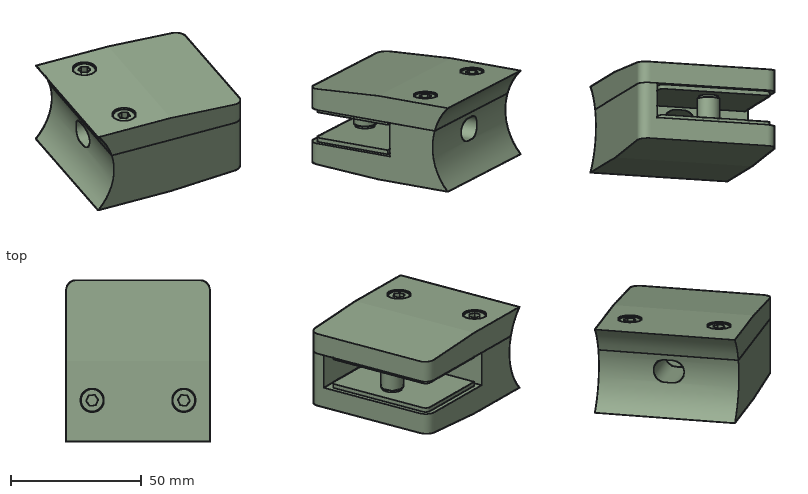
import cadquery as cq
import math

WIDTH = 55.0
LENGTH = 61.75
HEIGHT = 33.5
NOSE_DROP = 1.85
TAPER_START_Y = -0.1
CORNER_RADIUS = 3.95
RAIL_RADIUS = 24.15

SLOT_HEIGHT = 13.45
SLOT_END_Y = -5.2
STOP_WALL = 6.65

PAD_INSET = 2.0
PAD_THICKNESS = 1.65
PAD_LENGTH = 32.0

PIN_Y = 20.0
PIN_DIAMETER = 8.7
PIN_NECK_DIAMETER = 7.5
PIN_NECK_LENGTH = 1.0

OBLONG_LENGTH = 12.0
OBLONG_HEIGHT = 9.0

SCREW_SPACING = 35.0
SCREW_Y = -15.05
HEAD_DIAMETER = 8.5
HEAD_HEIGHT = 5.0
HEAD_FILLET = 0.5
HEAD_RECESS = 0.4
COUNTERBORE_DIAMETER = 9.0
SHANK_DIAMETER = 5.0
SHANK_LENGTH = 14.8
HEX_ACROSS_FLATS = 4.0
HEX_DEPTH = 3.1
HEX_TURN = 5.0

SIDE_X = WIDTH / 2
END_Y = LENGTH / 2
TOP_Z = HEIGHT / 2
SPLIT_Z = SLOT_HEIGHT / 2
SEAT_HALF_CHORD = math.sqrt(RAIL_RADIUS**2 - TOP_Z**2)
SEAT_BOTTOM_Y = -END_Y + RAIL_RADIUS - SEAT_HALF_CHORD
STOP_X = SIDE_X - STOP_WALL
SLOT_CENTRE_X = (STOP_X - SIDE_X) / 2
PAD_INNER_Z = SPLIT_Z - PAD_THICKNESS
HEAD_TOP_Z = TOP_Z - HEAD_RECESS
HEAD_BOTTOM_Z = HEAD_TOP_Z - HEAD_HEIGHT
SHANK_BOTTOM_Z = HEAD_BOTTOM_Z - SHANK_LENGTH
HEX_ACROSS_CORNERS = HEX_ACROSS_FLATS / math.cos(math.radians(30))
SCREW_SIDES = (-1, 1)


def box_between(low, high):
    """Box spanning two opposite corner points."""
    sizes = [b - a for a, b in zip(low, high)]
    return cq.Workplane("XY").box(*sizes, centered=False).translate(low)


def cylinder_between(x, y, low_z, high_z, diameter):
    """Upright cylinder centred on (x, y)."""
    return cq.Workplane("XY", origin=(x, y, low_z)).circle(diameter / 2).extrude(high_z - low_z)


def make_clamp_blank():
    """Whole clamp outline: tapered nose, rounded corners and concave rail seat."""
    nose_z = TOP_Z - NOSE_DROP
    profile = (
        cq.Workplane("YZ", origin=(-SIDE_X, 0, 0))
        .moveTo(-END_Y, TOP_Z)
        .lineTo(TAPER_START_Y, TOP_Z)
        .lineTo(END_Y, nose_z)
        .lineTo(END_Y, -nose_z)
        .lineTo(TAPER_START_Y, -TOP_Z)
        .lineTo(-END_Y, -TOP_Z)
        .threePointArc((SEAT_BOTTOM_Y, 0), (-END_Y, TOP_Z))
        .close()
    )
    outline = cq.Workplane("XY", origin=(0, 0, -TOP_Z)).rect(WIDTH, LENGTH).extrude(HEIGHT)
    rounded_outline = outline.edges("|Z and >Y").fillet(CORNER_RADIUS)
    return profile.extrude(WIDTH).intersect(rounded_outline)


def make_oblong_hole():
    """Cutter running along Y from the rail seat into the glass slot."""
    return (
        cq.Workplane("XZ", origin=(0, SLOT_END_Y, 0))
        .slot2D(OBLONG_LENGTH, OBLONG_HEIGHT)
        .extrude(END_Y + SLOT_END_Y)
    )


def make_body(blank):
    """Lower jaw with the rear block and the stop wall."""
    upper_region = box_between((-SIDE_X, -END_Y, SPLIT_Z), (SIDE_X, END_Y, TOP_Z))
    glass_slot = box_between((-SIDE_X, SLOT_END_Y, -SPLIT_Z), (STOP_X, END_Y, SPLIT_Z))
    body = blank.cut(upper_region).cut(glass_slot).cut(make_oblong_hole())
    for side in SCREW_SIDES:
        x = side * SCREW_SPACING / 2
        body = body.cut(cylinder_between(x, SCREW_Y, SHANK_BOTTOM_Z, SPLIT_Z, SHANK_DIAMETER))
    return body


def make_cover(blank):
    """Upper jaw with counterbored screw holes."""
    cover = blank.intersect(box_between((-SIDE_X, -END_Y, SPLIT_Z), (SIDE_X, END_Y, TOP_Z)))
    for side in SCREW_SIDES:
        x = side * SCREW_SPACING / 2
        cover = cover.cut(cylinder_between(x, SCREW_Y, SPLIT_Z, TOP_Z, SHANK_DIAMETER))
        cover = cover.cut(cylinder_between(x, SCREW_Y, HEAD_BOTTOM_Z, TOP_Z, COUNTERBORE_DIAMETER))
    return cover


def make_pad(bottom_z):
    """Flat pad with rounded +Y corners, the -X one concentric with the jaw corner."""
    front_y = END_Y - PAD_INSET
    low = (-SIDE_X + PAD_INSET, front_y - PAD_LENGTH, bottom_z)
    high = (STOP_X - PAD_INSET, front_y, bottom_z + PAD_THICKNESS)
    return box_between(low, high).edges("|Z and >Y").fillet(CORNER_RADIUS - PAD_INSET)


def make_pin():
    """Pin with a reduced neck at each end, reaching from pad to pad."""
    shoulder_z = PAD_INNER_Z - PIN_NECK_LENGTH
    neck = cylinder_between(SLOT_CENTRE_X, PIN_Y, -PAD_INNER_Z, PAD_INNER_Z, PIN_NECK_DIAMETER)
    barrel = cylinder_between(SLOT_CENTRE_X, PIN_Y, -shoulder_z, shoulder_z, PIN_DIAMETER)
    return barrel.union(neck)


def make_screw(side):
    """Socket head screw on the side given by the sign of X."""
    x = side * SCREW_SPACING / 2
    head = cylinder_between(x, SCREW_Y, HEAD_BOTTOM_Z, HEAD_TOP_Z, HEAD_DIAMETER)
    head = head.edges(">Z").fillet(HEAD_FILLET)
    shank = cylinder_between(x, SCREW_Y, SHANK_BOTTOM_Z, HEAD_BOTTOM_Z, SHANK_DIAMETER)
    hex_socket = (
        cq.Workplane("XY")
        .polygon(6, HEX_ACROSS_CORNERS)
        .extrude(-HEX_DEPTH)
        .rotate((0, 0, 0), (0, 0, 1), -side * HEX_TURN)
        .translate((x, SCREW_Y, HEAD_TOP_Z))
    )
    return head.union(shank).cut(hex_socket)


clamp_blank = make_clamp_blank()
body = make_body(clamp_blank)
cover = make_cover(clamp_blank)
pads = [make_pad(bottom_z) for bottom_z in (-SPLIT_Z, PAD_INNER_Z)]
pin = make_pin()
screws = [make_screw(side) for side in SCREW_SIDES]

result = cq.Compound.makeCompound([
    body.val(),
    cover.val(),
    *[pad.val() for pad in pads],
    pin.val(),
    *[screw.val() for screw in screws],
])